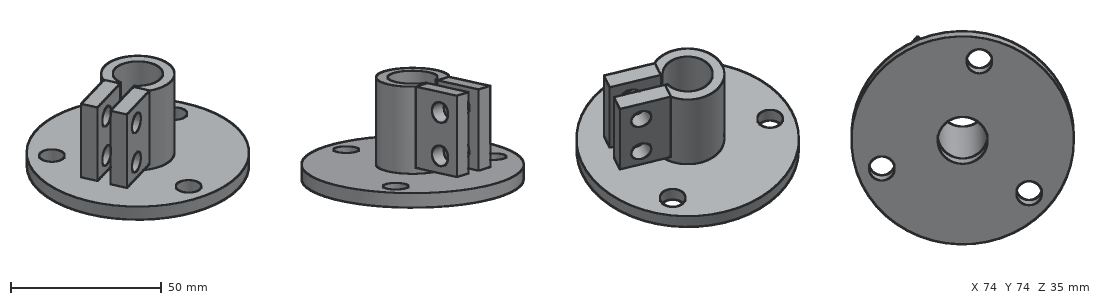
import cadquery as cq

flange_diameter = 74
flange_thickness = 5.0
bolt_hole_diameter = 8.5
rear_bolt_y = 29.0
front_bolt_x = 25.0
front_bolt_y = -14.0
bolt_places = [(0, rear_bolt_y), (-front_bolt_x, front_bolt_y), (front_bolt_x, front_bolt_y)]

total_height = 35.0
tube_height = total_height - flange_thickness
bore_diameter = 16.65
tube_outer_diameter = 24.4
slit_width = 4.9
slit_center_x = -0.1

ear_thickness = 6.0
ear_length = 18.0
ear_height = 28.0
ear_bottom = total_height - ear_height
left_ear_back_y = -8.6
right_ear_back_y = -8.8
left_ear_x = slit_center_x - (slit_width + ear_thickness) / 2
right_ear_x = slit_center_x + (slit_width + ear_thickness) / 2

screw_hole_diameter = 7.0
screw_hole_y = -19.25
screw_hole_spacing = 14.95
top_screw_hole_drop = 7.0
top_screw_hole_z = total_height - top_screw_hole_drop
screw_hole_heights = [top_screw_hole_z, top_screw_hole_z - screw_hole_spacing]


def make_flange():
    """Round plate with the tube's bore and three bolt holes through it."""
    plate = cq.Workplane("XY").circle(flange_diameter / 2).circle(bore_diameter / 2).extrude(flange_thickness)
    bolt_holes = (
        cq.Workplane("XY")
        .pushPoints(bolt_places)
        .circle(bolt_hole_diameter / 2)
        .extrude(flange_thickness)
    )
    return plate.cut(bolt_holes)


def make_ear_block(center_x, back_y):
    """Plain rectangular ear reaching from its back face toward -Y."""
    return (
        cq.Workplane("XY", origin=(center_x, back_y - ear_length / 2, ear_bottom))
        .rect(ear_thickness, ear_length)
        .extrude(ear_height)
    )


def make_ear(center_x, back_y):
    """Clamp ear with its screw holes."""
    screw_holes = (
        cq.Workplane("YZ", origin=(center_x - ear_thickness / 2, 0, 0))
        .pushPoints([(screw_hole_y, height) for height in screw_hole_heights])
        .circle(screw_hole_diameter / 2)
        .extrude(ear_thickness)
    )
    return make_ear_block(center_x, back_y).cut(screw_holes)


def make_tube(ear_places):
    """Tube slit open along its -Y side, with a recess for the back of each ear."""
    tube = (
        cq.Workplane("XY", origin=(0, 0, flange_thickness))
        .circle(tube_outer_diameter / 2)
        .circle(bore_diameter / 2)
        .extrude(tube_height)
    )
    slit_length = tube_outer_diameter / 2
    slit = (
        cq.Workplane("XY", origin=(slit_center_x, -slit_length / 2, flange_thickness))
        .rect(slit_width, slit_length)
        .extrude(tube_height)
    )
    tube = tube.cut(slit)
    for center_x, back_y in ear_places:
        tube = tube.cut(make_ear_block(center_x, back_y))
    return tube


ear_places = [(left_ear_x, left_ear_back_y), (right_ear_x, right_ear_back_y)]

flange = make_flange()
tube = make_tube(ear_places)
ears = [make_ear(center_x, back_y) for center_x, back_y in ear_places]

result = cq.Compound.makeCompound([flange.val(), tube.val(), *[ear.val() for ear in ears]])